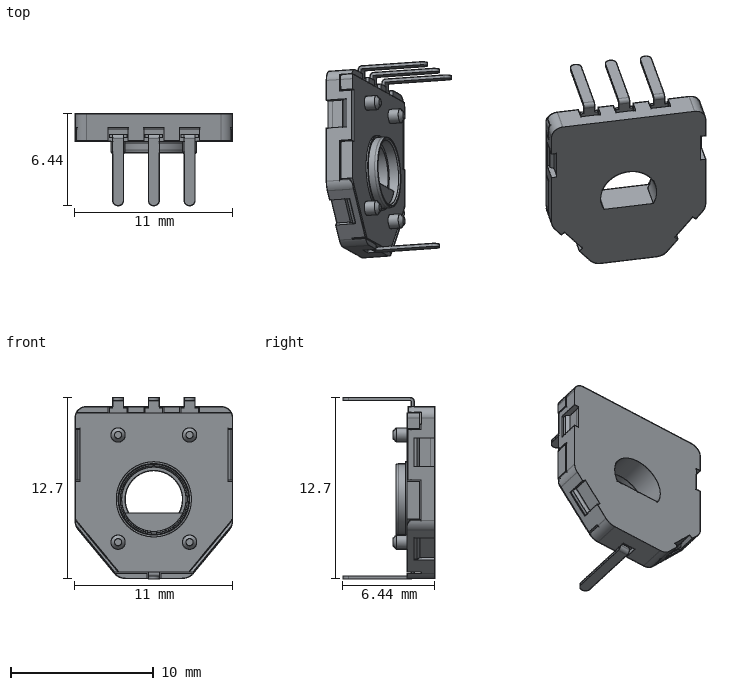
import cadquery as cq
import math


half_width = 5.51
top_z = 6.49
bottom_z = -5.54
back_y = 1.94
slant_start_z = -1.86
bottom_half_width = 2.46
top_corner_radius = 0.8
lower_corner_radius = 1.0

plate_top_z = 6.05
plate_bottom_z = -5.1
plate_depth = 0.88
plate_gap = 0.09
plate_clearance = 0.03
rim_setback = 0.07
rim_inset = 0.33
rim_land = 0.13
slope_width = rim_inset - rim_land
slant_inset = 0.3
groove_depth = 0.2
seat_y = plate_depth + plate_gap
side_slot_z = (1.26, 4.96)
lower_tab_z = -1.4
side_gap_bottom_z = 5.25

pocket_width = 2.0
pocket_front_y = 0.47
pocket_back_depth = 0.36
pocket_depth = 0.4
side_mouth_depth = 0.15
slant_pocket_depth = 0.3
slant_step_depth = 0.25
slant_mouth_depth = 0.1
pocket_ramp_y = (0.69, plate_depth)
pocket_taper_y = 1.63
side_pocket_z = 3.29
slant_pocket_z = -3.48

post_radius = 0.5
post_length = 1.0
post_chamfer = 0.25
post_x = 2.5
post_levels = (4.5, -3.0)

collar_radius = 2.63
collar_height = 0.12
ring_radius = 2.5
ring_height = 0.79
ring_chamfer = 0.1
ring_taper_length = 0.2
ring_taper_depth = 0.05
ring_inner_radius = 2.25
bore_radius = 2.0
flat_z = -0.95
flat_front_y = -0.42

pin_pitch = 2.5
pin_width = 0.78
pin_thickness = 0.22
pin_back_y = 0.5
pin_tip_y = -4.5
pin_top_z = 7.12
pin_bottom_z = -5.58
bend_outer_radius = 0.28
bend_inner_radius = bend_outer_radius - pin_thickness
shoulder_width = 1.23
shoulder_top_z = 6.4
notch_width = 1.41
bottom_notch_width = 0.99
embed = 0.3

slant_dx = half_width - bottom_half_width
slant_dz = bottom_z - slant_start_z
slant_length = math.hypot(slant_dx, slant_dz)
slant_dir = cq.Vector(slant_dx / slant_length, 0, slant_dz / slant_length)
slant_inward = cq.Vector(-slant_dir.z, 0, slant_dir.x)


def box(x_range, y_range, z_range):
    """Box between the given limits."""
    size = [high - low for low, high in (x_range, y_range, z_range)]
    corner = cq.Vector(x_range[0], y_range[0], z_range[0])
    return cq.Workplane(cq.Solid.makeBox(*size, corner))


def cylinder(radius, front_y, rear_y, x=0, z=0):
    """Cylinder along Y."""
    base = cq.Vector(x, front_y, z)
    return cq.Workplane(cq.Solid.makeCylinder(radius, rear_y - front_y, base, cq.Vector(0, 1, 0)))


def both_sides(shape):
    """The shape together with its mirror image across the YZ plane."""
    return shape.union(shape.mirror("YZ"))


def edge_prism(points, origin, inward, along, length):
    """Extrude a (depth, y) profile along an outer face, centred on origin."""
    plane = cq.Plane(origin=origin - along * (length / 2), xDir=inward, normal=along)
    y_sign = plane.yDir.y
    return cq.Workplane(plane).polyline([(d, y * y_sign) for d, y in points]).close().extrude(length)


def slant_point(z):
    """Point on the left slanted face at height z."""
    fraction = (z - slant_start_z) / slant_dz
    return cq.Vector(-half_width + fraction * slant_dx, 0, z)


def make_housing():
    outline = [
        (-half_width, top_z),
        (half_width, top_z),
        (half_width, slant_start_z),
        (bottom_half_width, bottom_z),
        (-bottom_half_width, bottom_z),
        (-half_width, slant_start_z),
    ]
    body = cq.Workplane("XZ").polyline(outline).close().extrude(-back_y)
    body = body.edges("|Y and >Z").fillet(top_corner_radius)
    for x, z in ((half_width, slant_start_z), (bottom_half_width, bottom_z)):
        for side in (-1, 1):
            corner = cq.NearestToPointSelector((side * x, back_y / 2, z))
            body = body.edges("|Y").edges(corner).fillet(lower_corner_radius)
    return body


def side_slot():
    """Slot behind the left side wall, leaving the wall with a sloped inner lip."""
    low, high = side_slot_z
    left, inner = -half_width, -half_width + rim_inset
    centre = cq.Vector(left, 0, (low + high) / 2)
    lip = [
        (0, 0),
        (rim_inset, 0),
        (rim_inset, rim_setback + groove_depth),
        (rim_land, rim_setback),
        (0, rim_setback),
    ]
    slot = edge_prism(lip, centre, cq.Vector(1, 0, 0), cq.Vector(0, 0, 1), high - low)
    for z in (low, high - plate_gap):
        slot = slot.union(box((left, inner), (0, seat_y), (z, z + plate_gap)))
    return slot


def tab_gaps():
    """Gaps behind the side tabs of the plate, on the left."""
    x_range = (-half_width, -half_width + rim_inset)
    gap_y = (plate_depth, seat_y)
    upper = box(x_range, gap_y, (side_slot_z[1] - plate_gap, plate_top_z))
    lower = box(x_range, gap_y, (lower_tab_z, side_slot_z[0] + plate_gap))
    return upper.union(lower)


def slant_groove():
    """V-shaped groove along the left slanted edge of the plate, with a deep slit next to the plate."""
    slope_start = slant_inset - plate_clearance
    profile = [
        (slant_inset, 0),
        (slant_inset, seat_y),
        (slope_start, seat_y),
        (slope_start, groove_depth),
        (slope_start - slope_width, 0),
    ]
    middle = slant_point((slant_start_z + bottom_z) / 2)
    overrun = 2 * rim_inset
    groove = edge_prism(profile, middle, slant_inward, slant_dir, slant_length + 2 * overrun)
    above_bottom_rim = box((-half_width, 0), (0, back_y), (plate_bottom_z - plate_gap, 0))
    return groove.intersect(above_bottom_rim)


def side_pocket():
    """Left side pocket, with a tapered back and a ramp up to a shallow mouth."""
    profile = [
        (0, back_y),
        (pocket_back_depth, back_y),
        (pocket_depth, pocket_taper_y),
        (pocket_depth, pocket_ramp_y[1]),
        (side_mouth_depth, pocket_ramp_y[0]),
        (side_mouth_depth, pocket_front_y),
        (0, pocket_front_y),
    ]
    origin = cq.Vector(-half_width, 0, side_pocket_z)
    return edge_prism(profile, origin, cq.Vector(1, 0, 0), cq.Vector(0, 0, 1), pocket_width)


def slant_pocket():
    """Pocket in the left slanted face, rising in two ramps to a shallow mouth."""
    profile = [
        (0, back_y),
        (slant_pocket_depth, back_y),
        (slant_pocket_depth, seat_y),
        (slant_step_depth, pocket_ramp_y[1]),
        (slant_mouth_depth, pocket_ramp_y[0]),
        (slant_mouth_depth, pocket_front_y),
        (0, pocket_front_y),
    ]
    return edge_prism(profile, slant_point(slant_pocket_z), slant_inward, slant_dir, pocket_width)


def cut_rim(body):
    full_x = (-half_width, half_width)
    body = body.cut(box(full_x, (0, rim_setback), (plate_top_z, top_z)))
    body = body.cut(box(full_x, (plate_depth, seat_y), (side_gap_bottom_z, plate_top_z)))
    top_slit_z = (plate_top_z, plate_top_z + plate_clearance)
    body = body.cut(box(full_x, (0, seat_y), top_slit_z))
    groove_z = (plate_bottom_z - plate_gap, plate_bottom_z)
    body = body.cut(box(full_x, (0, seat_y), groove_z))
    body = body.cut(both_sides(side_slot()))
    body = body.cut(both_sides(tab_gaps()))
    body = body.cut(both_sides(slant_groove()))
    return body.cut(both_sides(side_pocket())).cut(both_sides(slant_pocket()))


def cut_pin_notches(body):
    for i in (-1, 0, 1):
        x = i * pin_pitch
        x_range = (x - notch_width / 2, x + notch_width / 2)
        body = body.cut(box(x_range, (0, seat_y), (plate_top_z, top_z)))
    x_range = (-bottom_notch_width / 2, bottom_notch_width / 2)
    return body.cut(box(x_range, (0, seat_y), (bottom_z, plate_bottom_z)))


def make_post(x, z):
    post = cylinder(post_radius, -post_length, 0, x, z)
    return post.faces("<Y").chamfer(post_chamfer)


def add_ring(body):
    collar = cylinder(collar_radius, -collar_height, 0)
    ring = cylinder(ring_radius, -ring_height, 0)
    ring = ring.faces("<Y").edges().chamfer(ring_taper_length, ring_taper_depth)
    mouth_centre = cq.Vector(0, -ring_height, 0)
    mouth_radius = ring_inner_radius + ring_chamfer
    mouth = cq.Solid.makeCone(mouth_radius, ring_inner_radius, ring_chamfer, mouth_centre, cq.Vector(0, 1, 0))
    recess = cylinder(ring_inner_radius, -ring_height, 0).union(cq.Workplane(mouth))
    body = body.union(collar).union(ring)
    body = body.cut(recess).cut(cylinder(bore_radius, 0, back_y))
    block = cylinder(ring_inner_radius, flat_front_y, back_y)
    below_flat = box((-ring_radius, ring_radius), (flat_front_y, back_y), (-ring_radius, flat_z))
    return body.union(block.intersect(below_flat))


def make_pin(x, outer_z, root_z):
    """Bent terminal: a flat leg towards -Y at outer_z, and a stem along Z down to root_z."""
    inward = 1 if root_z > outer_z else -1
    inner_z = outer_z + inward * pin_thickness
    x_range = (x - pin_width / 2, x + pin_width / 2)
    stem_front_y = pin_back_y - pin_thickness
    tip_centre_y = pin_tip_y + pin_width / 2
    leg = box(x_range, (tip_centre_y, pin_back_y), sorted((outer_z, inner_z)))
    stem = box(x_range, (stem_front_y, pin_back_y), sorted((outer_z, root_z)))
    pin = leg.union(stem)
    pin = pin.edges(cq.NearestToPointSelector((x, pin_back_y, outer_z))).fillet(bend_outer_radius)
    pin = pin.edges(cq.NearestToPointSelector((x, stem_front_y, inner_z))).fillet(bend_inner_radius)
    tip_base = cq.Vector(x, tip_centre_y, min(outer_z, inner_z))
    return pin.union(cq.Workplane(cq.Solid.makeCylinder(pin_width / 2, pin_thickness, tip_base)))


def add_pins(body):
    shoulder_y = (pin_back_y - pin_thickness, pin_back_y)
    for i in (-1, 0, 1):
        x = i * pin_pitch
        shoulder_x = (x - shoulder_width / 2, x + shoulder_width / 2)
        body = body.union(make_pin(x, pin_top_z, plate_top_z - embed))
        body = body.union(box(shoulder_x, shoulder_y, (plate_top_z - embed, shoulder_top_z)))
    return body.union(make_pin(0, pin_bottom_z, plate_bottom_z + embed))


result = make_housing()
result = cut_rim(result)
result = cut_pin_notches(result)
for post_z in post_levels:
    result = result.union(both_sides(make_post(post_x, post_z)))
result = add_ring(result)
result = add_pins(result)